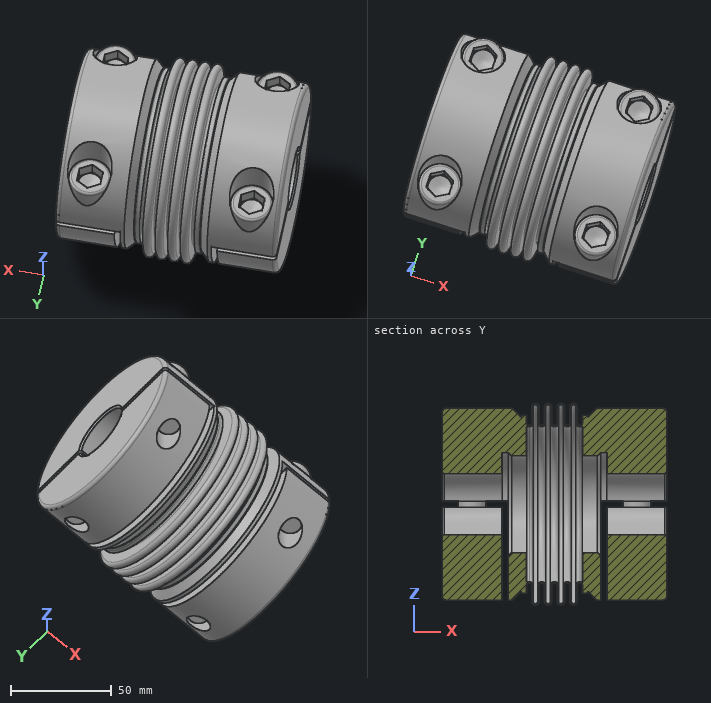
import cadquery as cq
import math


length = 112.15
end_x = -length / 2

hub_radius = 96 / 2
hub_edge_fillet = 2.0
neck_radius = 87.8 / 2
hub_cone_start_x = end_x + 35.0
hub_cone_end_x = hub_cone_start_x + hub_radius - neck_radius
bore_radius = 30 / 2
bore_chamfer = 1.0
relief_radius = 24.0
relief_chamfer = 1.7

collar_radius = 89 / 2
collar_fillet = collar_radius - neck_radius
collar_start_x = -16.6

slot_width = 3.0
clamp_width = 30.0
slot_start_x = end_x + clamp_width
slot_end_x = slot_start_x + slot_width

wave_count = 4
wave_pitch = 6.36
wall = 0.9
crest_radius = 101 / 2
root_radius = 39.5
bend_radius = wave_pitch / 4
tight_bend = bend_radius - wall / 2
bellows_end_x = -wave_count * wave_pitch / 2
collar_end_x = bellows_end_x - tight_bend

screw_offset_x = end_x + 15.0
screw_offset_y = 34.0
counterbore_diameter = 22.0
clearance_diameter = 15.0
thread_core_diameter = 11.84
shank_diameter = 14.0
shank_length = 35.0
head_diameter = 21.0
head_height = 14.0
head_fillet = 1.2
head_seat_z = 13.0
socket_width = 12.0
socket_depth = 7.0
socket_tip_depth = 2.0


def vertical_cylinder(diameter, bottom_z, top_z, y):
    """Cylinder along Z at the screw position of the -X hub."""
    return (
        cq.Workplane("XY", origin=(screw_offset_x, y, bottom_z))
        .circle(diameter / 2)
        .extrude(top_z - bottom_z)
    )


def hub_blank():
    """Turned hub with shaft bore, inner relief, cone and bellows collar."""
    relief_cone_end_x = slot_end_x + relief_chamfer
    fillet_mid = 1 - math.sqrt(0.5)
    hub_arc_mid = (end_x + hub_edge_fillet * fillet_mid, hub_radius - hub_edge_fillet * fillet_mid)
    collar_arc_mid = (
        collar_start_x + collar_fillet * fillet_mid,
        collar_radius - collar_fillet * fillet_mid,
    )
    return (
        cq.Workplane("XY")
        .moveTo(end_x, bore_radius + bore_chamfer)
        .lineTo(end_x, hub_radius - hub_edge_fillet)
        .threePointArc(hub_arc_mid, (end_x + hub_edge_fillet, hub_radius))
        .lineTo(hub_cone_start_x, hub_radius)
        .lineTo(hub_cone_end_x, neck_radius)
        .lineTo(collar_start_x, neck_radius)
        .threePointArc(collar_arc_mid, (collar_start_x + collar_fillet, collar_radius))
        .lineTo(collar_end_x, collar_radius)
        .lineTo(collar_end_x, relief_radius)
        .lineTo(relief_cone_end_x, relief_radius)
        .lineTo(slot_end_x, relief_radius + relief_chamfer)
        .lineTo(slot_start_x, relief_radius + relief_chamfer)
        .lineTo(slot_start_x, bore_radius)
        .lineTo(end_x + bore_chamfer, bore_radius)
        .close()
        .revolve(360, (0, 0, 0), (1, 0, 0))
    )


def clamp_slots():
    """Horizontal slot through the axis, turning down behind the lower clamp half."""
    half_width = slot_width / 2
    return (
        cq.Workplane("XZ")
        .moveTo(end_x, half_width)
        .lineTo(slot_end_x, half_width)
        .lineTo(slot_end_x, -hub_radius)
        .lineTo(slot_start_x, -hub_radius)
        .lineTo(slot_start_x, -half_width)
        .lineTo(end_x, -half_width)
        .close()
        .extrude(hub_radius, both=True)
    )


def screw_hole(y):
    """Counterbore and clearance hole above the slot, threaded hole below it."""
    counterbore = vertical_cylinder(counterbore_diameter, head_seat_z, hub_radius, y)
    clearance = vertical_cylinder(clearance_diameter, 0, head_seat_z, y)
    thread_core = vertical_cylinder(thread_core_diameter, -hub_radius, 0, y)
    return counterbore.union(clearance).union(thread_core)


def screw(y):
    """Hexagon socket head cap screw."""
    head_top_z = head_seat_z + head_height
    head = vertical_cylinder(head_diameter, head_seat_z, head_top_z, y)
    head = head.faces(">Z").edges().fillet(head_fillet)
    shank = vertical_cylinder(shank_diameter, head_seat_z - shank_length, head_seat_z, y)
    corner_diameter = socket_width / math.cos(math.pi / 6)
    socket = (
        cq.Workplane("XY", origin=(screw_offset_x, y, head_top_z))
        .transformed(rotate=(0, 0, 90))
        .polygon(6, corner_diameter)
        .extrude(-socket_depth)
    )
    socket_tip = cq.Workplane(
        cq.Solid.makeCone(
            socket_width / 2,
            0,
            socket_tip_depth,
            pnt=cq.Vector(screw_offset_x, y, head_top_z - socket_depth),
            dir=cq.Vector(0, 0, -1),
        )
    )
    return head.union(shank).cut(socket).cut(socket_tip)


def clamping_hub():
    """Complete hub at -X with its two screws in place."""
    hub = hub_blank().cut(clamp_slots())
    for y in (-screw_offset_y, screw_offset_y):
        hub = hub.cut(screw_hole(y)).union(screw(y))
    return hub


def bellows_side(offset, has_cuffs):
    """Solid inside the mid-wall line of the bellows moved outwards by offset.

    With cuffs, each end root bends outwards to the collar; without, it runs straight to it.
    """
    crest_bend = bend_radius + offset
    root_bend = bend_radius - offset
    crest = crest_radius - wall / 2 + offset
    root = root_radius - wall / 2 + offset
    crest_center = crest - crest_bend
    root_center = root + root_bend
    root_mid_step = root_bend * math.sqrt(0.5)
    root_mid = root_center - root_mid_step
    end_radius = root_center if has_cuffs else root

    profile = cq.Workplane("XY").moveTo(collar_end_x, 0).lineTo(collar_end_x, end_radius)
    if has_cuffs:
        profile = profile.threePointArc((bellows_end_x - root_mid_step, root_mid), (bellows_end_x, root))
    else:
        profile = profile.lineTo(bellows_end_x, root)
    for wave in range(wave_count):
        left_x = bellows_end_x + wave * wave_pitch
        crest_x = left_x + wave_pitch / 2
        right_x = left_x + wave_pitch
        profile = (
            profile
            .threePointArc((left_x + root_mid_step, root_mid), (left_x + root_bend, root_center))
            .lineTo(crest_x - crest_bend, crest_center)
            .threePointArc((crest_x, crest), (crest_x + crest_bend, crest_center))
            .lineTo(right_x - root_bend, root_center)
            .threePointArc((right_x - root_mid_step, root_mid), (right_x, root))
        )
    if has_cuffs:
        profile = profile.threePointArc((-bellows_end_x + root_mid_step, root_mid), (-collar_end_x, end_radius))
    else:
        profile = profile.lineTo(-collar_end_x, end_radius)
    return profile.lineTo(-collar_end_x, 0).close().revolve(360, (0, 0, 0), (1, 0, 0))


def bellows():
    """Thin-walled bellows between the two collars."""
    outside = bellows_side(wall / 2, has_cuffs=True)
    inside = bellows_side(-wall / 2, has_cuffs=False)
    return outside.cut(inside)


hub = clamping_hub()
result = bellows().union(hub).union(hub.mirror("YZ"))